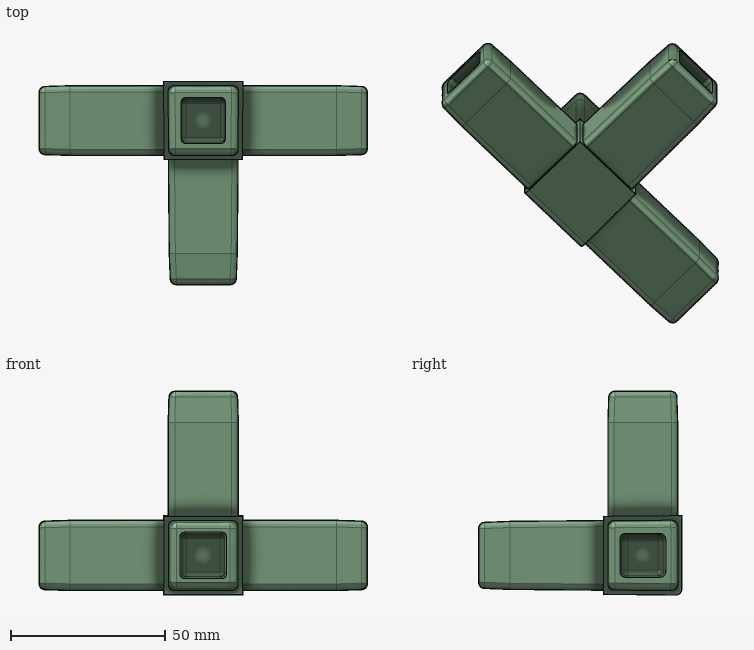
import cadquery as cq
import math

reach = 53.3
draft = math.tan(math.radians(0.5))
hub_width = 25.6
hub_depth = 25.4
hub_edge_radius = 2.0

side_arm_width = 22.7
front_arm_width = 22.9
arm_edge_radius = 2.0
tip_length = 10.1
tip_inset = 0.3
tip_start = reach - tip_length

side_mouth_depth = 14.9
side_mouth_width = 14.3
cross_floor_depth = 13.8
cross_floor_width = 13.4
cross_socket_radius = 2.0
upper_floor_width = 14.1
upper_socket_radius = 1.5
front_mouth_width = 15.0
front_floor_width = 13.8
front_socket_radius = 1.5
socket_bottom = 13.2


def half_width(width, y):
    """Half the drafted width at depth y, for a part with the given width at y = 0."""
    return width / 2 + draft * y


def drafted_outline(width, depth, inset=0.0):
    """Trapezoid with (y, side) corners, wider at +Y, with every side moved in by inset."""
    y = depth / 2 - inset
    back = half_width(width, y) - inset
    front = half_width(width, -y) - inset
    return [(-y, -front), (y, -back), (y, back), (-y, front)]


def rectangle(width, height):
    x = width / 2
    y = height / 2
    return [(-x, -y), (x, -y), (x, y), (-x, y)]


def front_arm_outline(distance, inset=0.0):
    """Square section of the front arm at a distance from the hub centre."""
    width = 2 * (half_width(front_arm_width, -distance) - inset)
    return rectangle(width, width)


def loft_between(plane, start, start_outline, end, end_outline):
    """Straight-sided solid between two outlines at distances along the plane normal."""
    return (
        cq.Workplane(plane)
        .workplane(offset=start)
        .polyline(start_outline)
        .close()
        .workplane(offset=end - start)
        .polyline(end_outline)
        .close()
        .loft(ruled=True)
    )


def make_hub():
    outline = drafted_outline(hub_width, hub_depth)
    side_profile = cq.Workplane("YZ").polyline(outline).close().extrude(hub_width, both=True)
    plan_profile = cq.Workplane("YX").polyline(outline).close().extrude(hub_width, both=True)
    hub = side_profile.intersect(plan_profile)
    return hub.edges(">Y").edges("<Z").fillet(hub_edge_radius)


def make_arm(plane, axis, tip, root_outline, tip_start_outline, tip_outline):
    """Solid arm from the hub centre, rounded along its corners and around its tip."""
    shank = loft_between(plane, 0, root_outline, tip_start, tip_start_outline)
    tapered_tip = loft_between(plane, tip_start, tip_start_outline, reach, tip_outline)
    arm = shank.union(tapered_tip)
    arm = arm.edges(f"not #{axis}").fillet(arm_edge_radius)
    return arm.faces(tip).edges().fillet(arm_edge_radius)


def make_socket(plane, tip, mouth_outline, floor_outline, radius):
    """Cutter for a blind hole, rounded in its corners and around its floor."""
    socket = loft_between(plane, socket_bottom, floor_outline, reach, mouth_outline)
    return socket.edges(f"not {tip}").fillet(radius)


def make_side_arm(floor_depth, floor_width, socket_radius):
    """Hollow arm along +X, whose section keeps the draft of the hub."""
    root_outline = drafted_outline(side_arm_width, side_arm_width)
    tip_outline = drafted_outline(side_arm_width, side_arm_width, tip_inset)
    arm = make_arm("YZ", "X", ">X", root_outline, root_outline, tip_outline)
    mouth_outline = rectangle(side_mouth_depth, side_mouth_width)
    floor_outline = rectangle(floor_depth, floor_width)
    return arm.cut(make_socket("YZ", ">X", mouth_outline, floor_outline, socket_radius))


def make_front_arm():
    """Hollow arm along -Y, narrowed over its whole length by the draft."""
    arm = make_arm(
        "XZ",
        "Y",
        "<Y",
        front_arm_outline(0),
        front_arm_outline(tip_start),
        front_arm_outline(reach, tip_inset),
    )
    mouth_outline = rectangle(front_mouth_width, front_mouth_width)
    floor_outline = rectangle(front_floor_width, front_floor_width)
    return arm.cut(make_socket("XZ", "<Y", mouth_outline, floor_outline, front_socket_radius))


right_arm = make_side_arm(cross_floor_depth, cross_floor_width, cross_socket_radius)
left_arm = right_arm.mirror("YZ")
upper_arm = make_side_arm(upper_floor_width, upper_floor_width, upper_socket_radius)
upper_arm = upper_arm.rotate((0, 0, 0), (0, 1, 0), -90)

result = make_hub()
for hollow_arm in (right_arm, left_arm, upper_arm, make_front_arm()):
    result = result.union(hollow_arm)